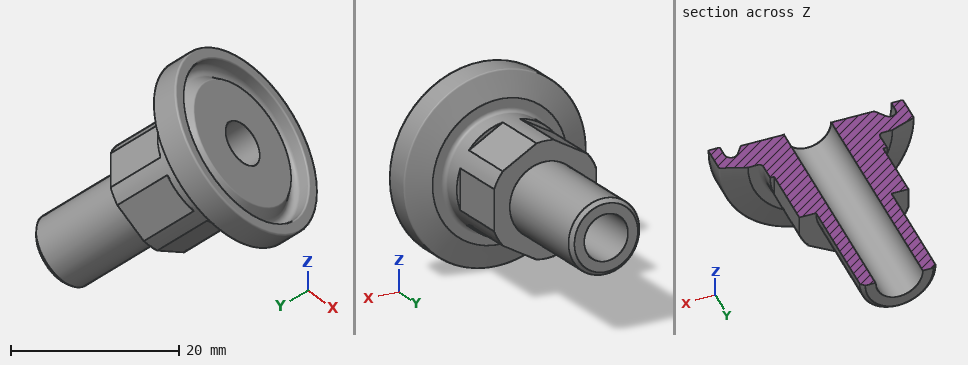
import cadquery as cq
import math

length = 30.0
bore_radius = 3.0

flange_diameter = 25.0
flange_radius = flange_diameter / 2
rim_height = 3.57
rim_edge_round = 0.25
shoulder_height = 4.75
shoulder_radius = 9.25

neck_radius = 7.5
neck_fillet = 0.5
flats_start = 7.47
neck_end = 15.5
across_flats = 14.0
flat_count = 6

stem_radius = 4.85
stem_chamfer = 0.5

groove_outer_radius = 10.95
groove_lip_round = 0.2
groove_floor_radius = 0.8
groove_wall_angle = 36.0
land_radius = 8.55
land_recess = 0.65
land_edge_round = 0.25


def revolve_about_y(profile):
    return profile.close().revolve(360, (0, 0, 0), (0, 1, 0))


def make_body():
    """Flange, neck and stem turned as one bored profile."""
    return revolve_about_y(
        cq.Workplane("XY")
        .moveTo(bore_radius, 0)
        .lineTo(flange_radius, 0)
        .lineTo(flange_radius, rim_height)
        .lineTo(shoulder_radius, shoulder_height)
        .lineTo(neck_radius + neck_fillet, shoulder_height)
        .radiusArc((neck_radius, shoulder_height + neck_fillet), neck_fillet)
        .lineTo(neck_radius, neck_end)
        .lineTo(stem_radius, neck_end)
        .lineTo(stem_radius, length - stem_chamfer)
        .lineTo(stem_radius - stem_chamfer, length)
        .lineTo(bore_radius, length)
    )


def make_face_recess():
    """Cutter for the recessed land and the round-floored groove around it."""
    angle = math.radians(groove_wall_angle)
    floor_center = groove_outer_radius - groove_floor_radius
    tangent_radius = floor_center - groove_floor_radius * math.cos(angle)
    tangent_height = land_recess + (tangent_radius - land_radius) / math.tan(angle)
    center_height = tangent_height - groove_floor_radius * math.sin(angle)
    return revolve_about_y(
        cq.Workplane("XY")
        .lineTo(0, land_recess)
        .lineTo(land_radius, land_recess)
        .lineTo(tangent_radius, tangent_height)
        .threePointArc(
            (floor_center, center_height + groove_floor_radius),
            (groove_outer_radius, center_height),
        )
        .lineTo(groove_outer_radius, 0)
    )


def round_circle(body, radius, height, edge_round):
    """Fillet the circular edge of this radius lying at this height on the Y axis."""
    tolerance = 0.003
    edges = body.edges("%CIRCLE").filter(
        lambda edge: abs(edge.radius() - radius) < tolerance
        and abs(edge.Center().y - height) < tolerance
    )
    return edges.fillet(edge_round)


def make_flat_cutter():
    """Everything outside the hexagon along the flatted length of the neck."""
    flats_length = neck_end - flats_start
    hexagon_diameter = across_flats / math.cos(math.pi / flat_count)
    plane = cq.Workplane("XZ", origin=(0, neck_end, 0))
    ring = plane.circle(flange_radius).extrude(flats_length)
    hexagon = (
        plane.transformed(rotate=(0, 0, 180 / flat_count))
        .polygon(flat_count, hexagon_diameter)
        .extrude(flats_length)
    )
    return ring.cut(hexagon)


result = make_body().cut(make_face_recess()).cut(make_flat_cutter())
result = round_circle(result, flange_radius, 0, rim_edge_round)
result = round_circle(result, flange_radius, rim_height, rim_edge_round)
result = round_circle(result, groove_outer_radius, 0, groove_lip_round)
result = round_circle(result, land_radius, land_recess, land_edge_round)